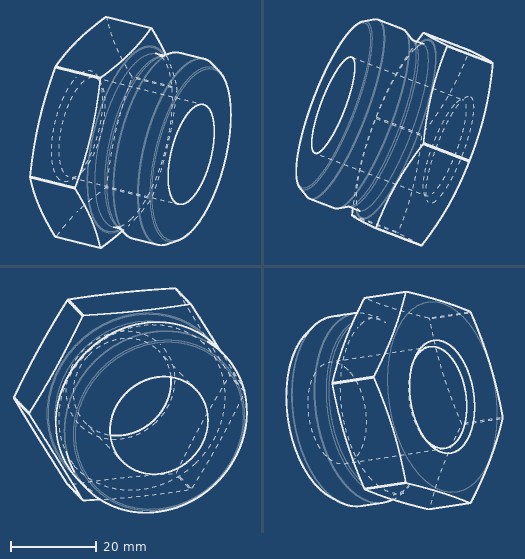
import cadquery as cq
import math

total_length = 30.0
hex_length = 14.0
across_flats = 46.0
corner_diameter = 52.95
face_diameter = 45.0
hex_chamfer_angle = 15.0

collar_diameter = 45.0
neck_diameter = 41.9
neck_fillet = 1.25
relief_angle = 30.0
collar_start = 20.85
collar_end = 27.3
tip_diameter = 41.9
collar_edge_radius = 0.5

bore_diameter = 24.1
bore_chamfer = 1.3


def revolve_about_x(profile):
    """Revolve an (axial, radial) profile about the part axis."""
    return profile.close().revolve(360, (0, 0, 0), (1, 0, 0))


def make_hexagon():
    """Hexagon with conically chamfered faces and slightly turned-down corners."""
    sharp_corner_diameter = across_flats / math.cos(math.radians(30))
    prism = cq.Workplane("YZ").polygon(6, sharp_corner_diameter).extrude(hex_length)
    face_radius = face_diameter / 2
    corner_radius = corner_diameter / 2
    chamfer_depth = (corner_radius - face_radius) * math.tan(math.radians(hex_chamfer_angle))
    envelope = revolve_about_x(
        cq.Workplane("XY")
        .lineTo(0, face_radius)
        .lineTo(chamfer_depth, corner_radius)
        .lineTo(hex_length - chamfer_depth, corner_radius)
        .lineTo(hex_length, face_radius)
        .lineTo(hex_length, 0)
    )
    return prism.intersect(envelope)


def make_spigot():
    """Relieved neck with rounded ends, followed by the chamfered collar."""
    neck_radius = neck_diameter / 2
    collar_radius = collar_diameter / 2
    slope = math.radians(relief_angle)
    cone_start = collar_start - (collar_radius - neck_radius) / math.tan(slope)
    tangent_length = neck_fillet * math.tan(slope / 2)
    blend_end = (
        cone_start + tangent_length * math.cos(slope),
        neck_radius + tangent_length * math.sin(slope),
    )
    spigot = revolve_about_x(
        cq.Workplane("XY")
        .moveTo(hex_length, 0)
        .lineTo(hex_length, neck_radius + neck_fillet)
        .radiusArc((hex_length + neck_fillet, neck_radius), -neck_fillet)
        .lineTo(cone_start - tangent_length, neck_radius)
        .radiusArc(blend_end, -neck_fillet)
        .lineTo(collar_start, collar_radius)
        .lineTo(collar_end, collar_radius)
        .lineTo(total_length, tip_diameter / 2)
        .lineTo(total_length, 0)
    )
    sharp_edges = [
        edge
        for edge in spigot.edges("%CIRCLE").vals()
        if edge.Center().x >= collar_start - collar_edge_radius
    ]
    return spigot.newObject(sharp_edges).fillet(collar_edge_radius)


def make_bore():
    """Through bore with a 45 degree chamfer at the hexagon face."""
    bore_radius = bore_diameter / 2
    return revolve_about_x(
        cq.Workplane("XY")
        .lineTo(0, bore_radius + bore_chamfer)
        .lineTo(bore_chamfer, bore_radius)
        .lineTo(total_length, bore_radius)
        .lineTo(total_length, 0)
    )


result = make_hexagon().union(make_spigot()).cut(make_bore())